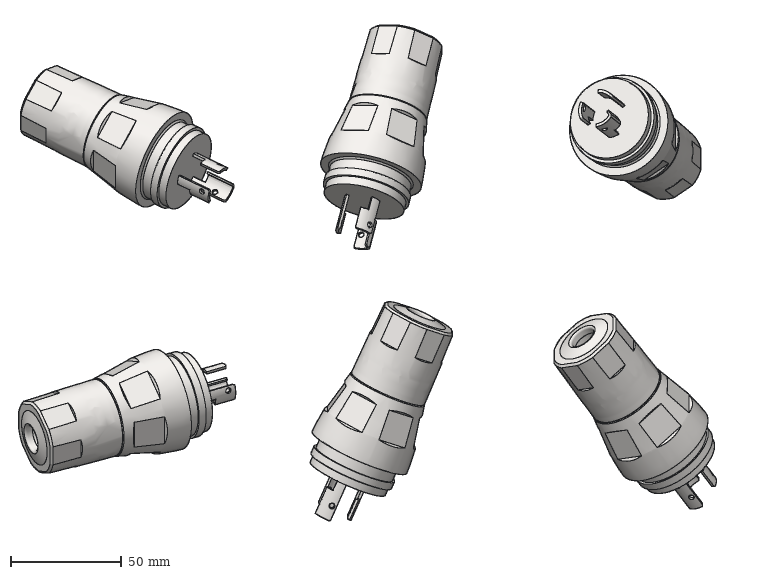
import cadquery as cq
import math

LENGTH = 102.7
BEYOND = 30.8

FLAT_COUNT = 6
FLAT_PITCH = 360.0 / FLAT_COUNT

CAP_FACE_X = 1.6
CAP_END_X = 37.5
CAP_FACE_RADIUS = 17.5
CAP_MID_RADIUS = 17.9
CAP_END_RADIUS = 18.2
CAP_CHAMFER = 1.0
CAP_FLAT_START_RADIUS = 16.7
CAP_FLAT_END_RADIUS = 17.1
CAP_FLAT_END_X = 16.6
CAP_FLAT_END_SLOPE = 1.3

BUSHING_RADIUS = 12.8
BUSHING_DEPTH = 2.1
BUSHING_NOSE_RADIUS = 7.1
CABLE_HOLE_RADIUS = 5.9
MOUTH_ROUND = BUSHING_NOSE_RADIUS - CABLE_HOLE_RADIUS

BODY_END_X = 69.6
BODY_START_RADIUS = 18.4
BODY_START_CHAMFER = 0.5
SHOULDER_X = 57.0
SHOULDER_RADIUS = 22.5
BODY_MID_RADIUS = 23.2
BODY_END_DIAMETER = 47.1
BODY_END_RADIUS = BODY_END_DIAMETER / 2
BODY_FLAT_START = (43.2, 18.3)
BODY_FLAT_END = (57.1, 21.3)
BODY_FLAT_START_SLOPE = 1.0
BODY_FLAT_END_SLOPE = 1.6

INSERT_RADIUS = 19.0
INSERT_ROOT_CHAMFER = 0.8
FLANGE_START_X = 75.4
FLANGE_END_X = 79.0
FLANGE_RADIUS = 20.0
INSERT_NOSE_RADIUS = 18.7
INSERT_FACE_X = 82.9

BLADE_OUTER_RADIUS = 9.1
BLADE_INNER_RADIUS = 7.8
BLADE_MID_RADIUS = (BLADE_OUTER_RADIUS + BLADE_INNER_RADIUS) / 2
BLADE_ARC = 55.0
BLADE_ROOT_ARC = 30.0
BLADE_SPACING = 117.5
BLADE_TIP_ROUND = 0.9
NOTCH_END_X = 89.3
POWER_TIP_X = 99.5
WIRE_HOLE_X = 95.9
WIRE_HOLE_DIAMETER = 2.6
WIRE_HOLE_OFFSET = 14.0

NEUTRAL_START = 180.0 - BLADE_ARC / 2
LINE_START = NEUTRAL_START - BLADE_SPACING
GROUND_START = NEUTRAL_START + BLADE_SPACING - 360.0

HOOK_OUTER_BEND = (7.4, -3.8)
HOOK_OUTER_TIP = (6.0, -1.6)
HOOK_INNER_TIP = (5.2, -2.3)
HOOK_INNER_BEND = (6.5, -4.1)
HOOK_INNER_ROOT_Z = -5.1


def turned(profile):
    """Revolve a closed (X, radius) profile around the X axis."""
    return profile.close().revolve(360, (0, 0, 0), (1, 0, 0))


def cut_flats(solid, section):
    """Cut six flats with a straight prism whose section is given as (X, radius) points."""
    half_width = CAP_FACE_RADIUS * math.tan(math.radians(FLAT_PITCH / 2))
    cutter = cq.Workplane("XY").polyline(section).close().extrude(half_width, both=True)
    for index in range(FLAT_COUNT):
        solid = solid.cut(cutter.rotate((0, 0, 0), (1, 0, 0), index * FLAT_PITCH))
    return solid


def polar(radius, angle):
    """(Y, Z) point at a radius and an angle in degrees."""
    return (radius * math.cos(math.radians(angle)), radius * math.sin(math.radians(angle)))


def make_cap():
    cap = turned(
        cq.Workplane("XY")
        .moveTo(CAP_FACE_X, 0)
        .lineTo(CAP_FACE_X, CAP_FACE_RADIUS)
        .threePointArc(((CAP_FACE_X + CAP_END_X) / 2, CAP_MID_RADIUS), (CAP_END_X, CAP_END_RADIUS))
        .lineTo(CAP_END_X, 0)
    )
    cap = cut_flats(cap, [
        (CAP_FACE_X, CAP_FLAT_START_RADIUS),
        (CAP_FLAT_END_X, CAP_FLAT_END_RADIUS),
        (CAP_FLAT_END_X + (BEYOND - CAP_FLAT_END_RADIUS) / CAP_FLAT_END_SLOPE, BEYOND),
        (CAP_FACE_X, BEYOND),
    ])
    cap = cap.faces("<X").chamfer(CAP_CHAMFER)
    pocket = cq.Workplane("YZ", origin=(CAP_FACE_X, 0, 0)).circle(BUSHING_RADIUS).extrude(BUSHING_DEPTH)
    hole = cq.Workplane("YZ").circle(CABLE_HOLE_RADIUS).extrude(CAP_END_X)
    return cap.cut(pocket).cut(hole)


def make_bushing():
    mouth_mid = MOUTH_ROUND * (1 - math.sqrt(0.5))
    seat_x = CAP_FACE_X + BUSHING_DEPTH
    return turned(
        cq.Workplane("XY")
        .moveTo(seat_x, CABLE_HOLE_RADIUS)
        .lineTo(MOUTH_ROUND, CABLE_HOLE_RADIUS)
        .threePointArc((mouth_mid, CABLE_HOLE_RADIUS + mouth_mid), (0, BUSHING_NOSE_RADIUS))
        .lineTo(CAP_FACE_X, BUSHING_RADIUS)
        .lineTo(seat_x, BUSHING_RADIUS)
    )


def make_body():
    body = turned(
        cq.Workplane("XY")
        .moveTo(CAP_END_X, 0)
        .lineTo(CAP_END_X, BODY_START_RADIUS - BODY_START_CHAMFER)
        .lineTo(CAP_END_X + BODY_START_CHAMFER, BODY_START_RADIUS)
        .lineTo(SHOULDER_X, SHOULDER_RADIUS)
        .threePointArc(((SHOULDER_X + BODY_END_X) / 2, BODY_MID_RADIUS), (BODY_END_X, BODY_END_RADIUS))
        .lineTo(BODY_END_X, 0)
    )
    start_x, start_radius = BODY_FLAT_START
    end_x, end_radius = BODY_FLAT_END
    return cut_flats(body, [
        BODY_FLAT_START,
        BODY_FLAT_END,
        (end_x + (BEYOND - end_radius) / BODY_FLAT_END_SLOPE, BEYOND),
        (start_x - (BEYOND - start_radius) / BODY_FLAT_START_SLOPE, BEYOND),
    ])


def make_insert():
    return turned(
        cq.Workplane("XY")
        .moveTo(BODY_END_X, 0)
        .lineTo(BODY_END_X, INSERT_RADIUS + INSERT_ROOT_CHAMFER)
        .lineTo(BODY_END_X + INSERT_ROOT_CHAMFER, INSERT_RADIUS)
        .lineTo(FLANGE_START_X, INSERT_RADIUS)
        .lineTo(FLANGE_START_X, FLANGE_RADIUS)
        .lineTo(FLANGE_END_X, FLANGE_RADIUS)
        .lineTo(FLANGE_END_X, INSERT_NOSE_RADIUS)
        .lineTo(INSERT_FACE_X, INSERT_NOSE_RADIUS)
        .lineTo(INSERT_FACE_X, 0)
    )


def arc_strip(start_x, end_x, start_angle, arc):
    """Strip bent to the blade radius, running along X."""
    middle = start_angle + arc / 2
    end = start_angle + arc
    return (
        cq.Workplane("YZ", origin=(start_x, 0, 0))
        .moveTo(*polar(BLADE_OUTER_RADIUS, start_angle))
        .threePointArc(polar(BLADE_OUTER_RADIUS, middle), polar(BLADE_OUTER_RADIUS, end))
        .lineTo(*polar(BLADE_INNER_RADIUS, end))
        .threePointArc(polar(BLADE_INNER_RADIUS, middle), polar(BLADE_INNER_RADIUS, start_angle))
        .close()
        .extrude(end_x - start_x)
    )


def hooked_strip(start_x, end_x, start_angle):
    """Bent strip whose free edge turns inwards as a hook."""
    outer_end = start_angle + BLADE_ARC
    inner_end = math.degrees(math.asin(HOOK_INNER_ROOT_Z / BLADE_INNER_RADIUS))
    middle = start_angle + BLADE_ARC / 2
    return (
        cq.Workplane("YZ", origin=(start_x, 0, 0))
        .moveTo(*polar(BLADE_OUTER_RADIUS, start_angle))
        .threePointArc(polar(BLADE_OUTER_RADIUS, middle), polar(BLADE_OUTER_RADIUS, outer_end))
        .lineTo(*HOOK_OUTER_BEND)
        .lineTo(*HOOK_OUTER_TIP)
        .lineTo(*HOOK_INNER_TIP)
        .lineTo(*HOOK_INNER_BEND)
        .lineTo(*polar(BLADE_INNER_RADIUS, inner_end))
        .threePointArc(polar(BLADE_INNER_RADIUS, middle), polar(BLADE_INNER_RADIUS, start_angle))
        .close()
        .extrude(end_x - start_x)
    )


def round_tip_corner(blade, tip_x, corner):
    """Round the tip edge that lies nearest to a (Y, Z) point."""
    nearest = cq.selectors.NearestToPointSelector((tip_x, *corner))
    return blade.faces(">X").edges(nearest).fillet(BLADE_TIP_ROUND)


def finish_blade(head, tip_x, start_angle, free_corner):
    """Add the narrow root to a blade head, round the tip corners and drill the wire hole."""
    blade = head.union(arc_strip(INSERT_FACE_X, NOTCH_END_X, start_angle, BLADE_ROOT_ARC))
    blade = round_tip_corner(blade, tip_x, polar(BLADE_MID_RADIUS, start_angle))
    blade = round_tip_corner(blade, tip_x, free_corner)
    drill = (
        cq.Workplane("XZ", origin=(WIRE_HOLE_X, 0, 0))
        .circle(WIRE_HOLE_DIAMETER / 2)
        .extrude(-BEYOND)
        .rotate((0, 0, 0), (1, 0, 0), start_angle + WIRE_HOLE_OFFSET)
    )
    return blade.cut(drill)


def make_power_blade(start_angle):
    head = arc_strip(NOTCH_END_X, POWER_TIP_X, start_angle, BLADE_ARC)
    return finish_blade(head, POWER_TIP_X, start_angle, polar(BLADE_MID_RADIUS, start_angle + BLADE_ARC))


def make_ground_blade():
    head = hooked_strip(NOTCH_END_X, LENGTH, GROUND_START)
    hook_tip = tuple((a + b) / 2 for a, b in zip(HOOK_OUTER_TIP, HOOK_INNER_TIP))
    return finish_blade(head, LENGTH, GROUND_START, hook_tip)


cap = make_cap()
bushing = make_bushing()
body = make_body()
insert = make_insert()
power_blades = [make_power_blade(angle) for angle in (NEUTRAL_START, LINE_START)]
ground_blade = make_ground_blade()

result = cq.Compound.makeCompound([
    cap.val(),
    bushing.val(),
    body.val(),
    insert.val(),
    *[blade.val() for blade in power_blades],
    ground_blade.val(),
])